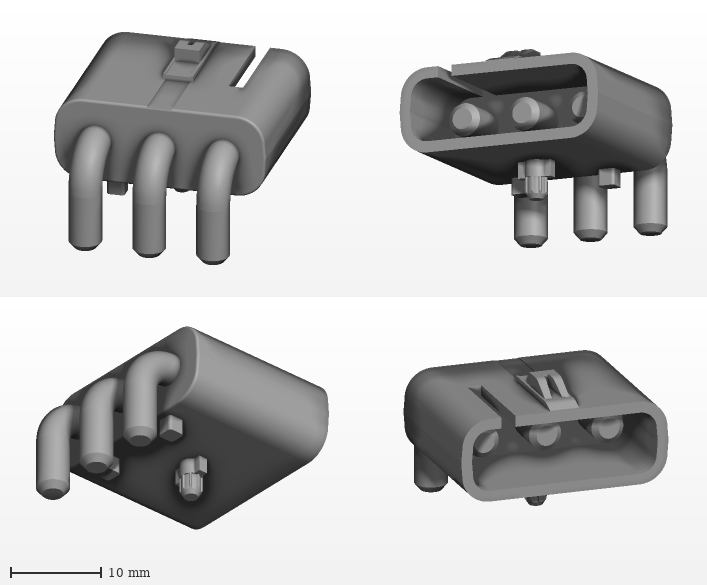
import cadquery as cq
import math

body_length = 19.31
body_height = 9.68
mid_height = body_height / 2
corner_radius = 3.25
side_half_width = 12.1
apex_half_width = 12.23
front_edge_radius = 0.3
wall = 1.27

plate_half_width = 1.7
plate_length = 11.42
plate_height = 0.65
plate_heel_height = 0.1
plate_heel_setback = 0.1
plate_ramp_length = 1.5
strip_half_width = 1.43
strip_depth = 0.13
catch_height = 1.53
catch_setback = 2.52
catch_ramp_length = 2.68
catch_reach = 7.7
catch_undercut = 0.15
plate_blend_radius = 2.0
catch_blend_radius = 2.17
notch_back_half_width = 0.6
notch_neck_half_width = 0.38
notch_tip_half_width = 0.25
notch_neck_reach = 5.68
notch_tip_reach = 6.45

keyway_left = 5.8
keyway_right = 7.5

pin_count = 3
pin_pitch = 7.36
pin_radius = 1.89
pin_tip_radius = 1.2
bend_radius = 4.28
pin_setback = 5.94
pin_drop = 6.17
inner_tip_length = 0.6
outer_tip_length = 0.8

standoff_height = 1.89
standoff_side = 2.05
standoff_corner_radius = 0.35
standoff_offset = 5.35
standoff_setback = 17.28
peg_setback = 9.65
peg_radius = 1.3
peg_web_half_length = 2.05
peg_web_thickness = 1.07
peg_length = 4.3
peg_core_radius = 1.12
peg_tip_radius = 0.8
peg_tip_length = 0.8
peg_rib_count = 8
rib_root_half_width = 0.18
rib_crest_half_width = 0.09

plate_top = body_height + plate_height
strip_floor = plate_top - strip_depth
catch_top = plate_top + catch_height
cavity_floor_y = body_length - plate_length


def housing_prism(inset, length):
    """Housing cross-section, shrunk by inset, extruded from y = 0 towards +Y."""
    top = mid_height - inset
    side = side_half_width - inset
    apex = apex_half_width - inset
    radius = corner_radius - inset
    flat = side - radius
    side_rise = top - radius
    bow = radius * math.sqrt(0.5)
    return (
        cq.Workplane("XZ", origin=(0, 0, mid_height))
        .moveTo(-flat, top)
        .lineTo(flat, top)
        .threePointArc((flat + bow, side_rise + bow), (side, side_rise))
        .lineTo(apex, 0)
        .lineTo(side, -side_rise)
        .threePointArc((flat + bow, -side_rise - bow), (flat, -top))
        .lineTo(-flat, -top)
        .threePointArc((-flat - bow, -side_rise - bow), (-side, -side_rise))
        .lineTo(-apex, 0)
        .lineTo(-side, side_rise)
        .threePointArc((-flat - bow, side_rise + bow), (-flat, top))
        .close()
        .extrude(-length)
    )


def box_between(x_range, y_range, z_range):
    """Box spanning the given ranges along each axis."""
    size = [high - low for low, high in (x_range, y_range, z_range)]
    corner = (x_range[0], y_range[0], z_range[0])
    return cq.Workplane("XY").box(*size, centered=False).translate(corner)


def make_housing():
    shell = housing_prism(0, body_length).faces("<Y").edges().fillet(front_edge_radius)
    cavity = housing_prism(wall, plate_length).translate((0, cavity_floor_y, 0))
    keyway = box_between(
        (keyway_left, keyway_right), (cavity_floor_y, body_length), (mid_height, body_height)
    )
    strip = box_between(
        (-strip_half_width, strip_half_width),
        (0, cavity_floor_y),
        (body_height - strip_depth, body_height),
    )
    return shell.cut(cavity).cut(keyway).cut(strip)


def side_profile(points, half_width):
    """Extrude a (y, z) outline symmetrically about x = 0."""
    return cq.Workplane("YZ").polyline(points).close().extrude(half_width, both=True)


def blend_ramp_crest(solid, crest_y, crest_z, radius):
    """Round the edge where a ramp meets the flat above it."""
    crest = cq.selectors.NearestToPointSelector((0, crest_y, crest_z))
    return solid.edges(crest).fillet(radius)


def make_latch_plate():
    crest_y = body_length - plate_ramp_length
    heel_y = body_length - plate_heel_setback
    plate = side_profile(
        [
            (cavity_floor_y, body_height),
            (heel_y, body_height),
            (heel_y, body_height + plate_heel_height),
            (crest_y, plate_top),
            (cavity_floor_y, plate_top),
        ],
        plate_half_width,
    )
    strip = box_between(
        (-strip_half_width, strip_half_width),
        (cavity_floor_y, body_length - catch_setback),
        (strip_floor, plate_top),
    )
    return blend_ramp_crest(plate, crest_y, plate_top, plate_blend_radius).cut(strip)


def make_catch():
    foot_y = body_length - catch_setback
    crest_y = foot_y - catch_ramp_length
    front_y = body_length - catch_reach
    catch = side_profile(
        [
            (front_y + catch_undercut, strip_floor),
            (foot_y, strip_floor),
            (foot_y, plate_top),
            (crest_y, catch_top),
            (front_y, catch_top),
        ],
        strip_half_width,
    )
    neck_y = body_length - notch_neck_reach
    tip_y = body_length - notch_tip_reach
    half_notch = (
        cq.Workplane("XY", origin=(0, 0, plate_top))
        .moveTo(0, foot_y)
        .lineTo(notch_back_half_width, foot_y)
        .lineTo(notch_neck_half_width, neck_y)
        .tangentArcPoint((notch_tip_half_width, tip_y), relative=False)
        .lineTo(0, tip_y)
        .close()
        .extrude(catch_height)
    )
    notch = half_notch.union(half_notch.mirror("YZ"))
    return blend_ramp_crest(catch, crest_y, catch_top, catch_blend_radius).cut(notch)


def make_pin():
    """Round pin running forward out of the housing, then bent straight down."""
    inner_end = body_length - pin_setback
    bow = bend_radius * math.sqrt(0.5)
    bend_z = mid_height - bend_radius
    straight = (
        cq.Workplane("XZ", origin=(0, inner_end, mid_height))
        .circle(pin_radius)
        .extrude(inner_end)
        .faces(">Y")
        .chamfer(inner_tip_length, pin_radius - pin_tip_radius)
    )
    bend_path = (
        cq.Workplane("YZ")
        .moveTo(0, mid_height)
        .threePointArc((-bow, bend_z + bow), (-bend_radius, bend_z))
    )
    bend = cq.Workplane("XZ", origin=(0, 0, mid_height)).circle(pin_radius).sweep(bend_path)
    leg = (
        cq.Workplane("XY", origin=(0, -bend_radius, -pin_drop))
        .circle(pin_radius)
        .extrude(bend_z + pin_drop)
        .faces("<Z")
        .chamfer(outer_tip_length, pin_radius - pin_tip_radius)
    )
    return straight.union(bend).union(leg)


def make_standoff():
    return (
        cq.Workplane("XY")
        .rect(standoff_side, standoff_side)
        .extrude(-standoff_height)
        .edges("|Z")
        .fillet(standoff_corner_radius)
    )


def make_snap_peg():
    """Shouldered peg with side webs above and tapered crush ribs below."""
    shoulder = cq.Workplane("XY").circle(peg_radius).extrude(-standoff_height)
    webs = (
        cq.Workplane("XY")
        .rect(2 * peg_web_half_length, peg_web_thickness)
        .extrude(-standoff_height)
    )
    ribbed = cq.Workplane("XY").circle(peg_core_radius).extrude(-peg_length)
    rib = (
        cq.Workplane("XY")
        .polyline(
            [
                (0, -rib_root_half_width),
                (peg_core_radius, -rib_root_half_width),
                (peg_radius, -rib_crest_half_width),
                (peg_radius, rib_crest_half_width),
                (peg_core_radius, rib_root_half_width),
                (0, rib_root_half_width),
            ]
        )
        .close()
        .extrude(-peg_length)
    )
    for index in range(peg_rib_count):
        ribbed = ribbed.union(rib.rotate((0, 0, 0), (0, 0, 1), index * 360 / peg_rib_count))
    envelope = (
        cq.Workplane("XY")
        .circle(peg_radius)
        .extrude(-peg_length)
        .faces("<Z")
        .chamfer(peg_tip_length, peg_radius - peg_tip_radius)
    )
    return ribbed.intersect(envelope).union(shoulder).union(webs)


result = make_housing().union(make_latch_plate()).union(make_catch())

pin = make_pin()
for index in range(pin_count):
    pin_x = (index - (pin_count - 1) / 2) * pin_pitch
    result = result.union(pin.translate((pin_x, 0, 0)))

standoff = make_standoff()
for side in (-1, 1):
    result = result.union(
        standoff.translate((side * standoff_offset, body_length - standoff_setback, 0))
    )

result = result.union(make_snap_peg().translate((0, body_length - peg_setback, 0)))